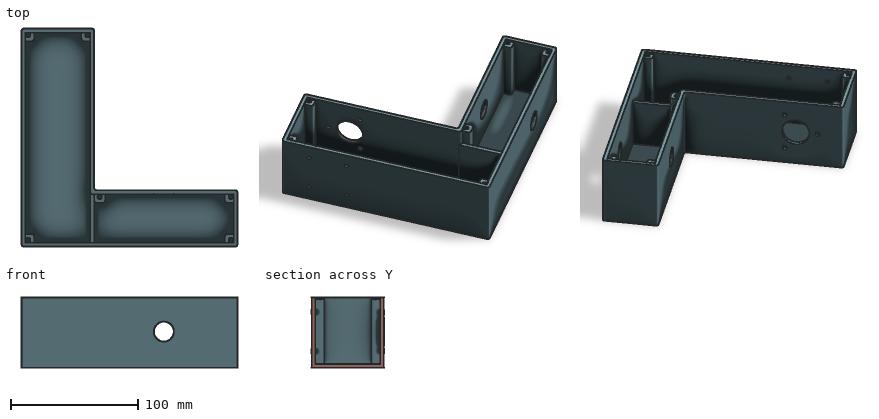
import cadquery as cq
import math

LENGTH_X = 169.8
LENGTH_Y = 171.45
HEIGHT = 55.56
LONG_ARM_WIDTH = 57.15
SHORT_ARM_WIDTH = 44.45
WALL = 3.175
FLOOR = 3.175
CORNER_RADIUS = 2.0

PARTITION_TOP = 41.275

POST_SIZE = 6.8
INNER_POST_LENGTH_X = 8.7
POST_RADIUS = 2.0
POST_RECESS = 1.5875
POST_HOLE_DIAMETER = 3.5
POST_HOLE_DEPTH = 12.0
POST_HOLE_INSET = 2.1

AXIS_Z = 28.575
MOTOR_Y = 133.35
MOTOR_BORE_DIAMETER = 22.0
MOTOR_SCREW_DIAMETER = 3.5
MOTOR_SCREW_CIRCLE_RADIUS = 17.5
MOTOR_SCREW_COUNT = 3

SIDE_SCREW_DIAMETER = 3.0
SIDE_SCREW_SPACING = 31.0

CROSS_HOLE_DIAMETER = 15.5

PARTITION_MIN_X = LONG_ARM_WIDTH - WALL
CROSS_HOLE_X = (LONG_ARM_WIDTH + LENGTH_X - WALL) / 2
POST_TOP = HEIGHT - POST_RECESS
INSIDE_MIN = WALL
INSIDE_MAX_X = LENGTH_X - WALL
INSIDE_MAX_Y = LENGTH_Y - WALL
SHORT_ARM_INSIDE_MAX_Y = SHORT_ARM_WIDTH - WALL


def l_prism(inset, bottom, top):
    """L-shaped prism whose sides lie `inset` inside the outer walls."""
    return (
        cq.Workplane("XY", origin=(0, 0, bottom))
        .moveTo(inset, inset)
        .lineTo(LENGTH_X - inset, inset)
        .lineTo(LENGTH_X - inset, SHORT_ARM_WIDTH - inset)
        .lineTo(LONG_ARM_WIDTH - inset, SHORT_ARM_WIDTH - inset)
        .lineTo(LONG_ARM_WIDTH - inset, LENGTH_Y - inset)
        .lineTo(inset, LENGTH_Y - inset)
        .close()
        .extrude(top - bottom)
    )


def block(x_min, x_max, y_min, y_max, z_min, z_max):
    """Axis-aligned box given by its limits."""
    return cq.Workplane("XY").box(
        x_max - x_min, y_max - y_min, z_max - z_min, centered=False
    ).translate((x_min, y_min, z_min))


def cylinder_x(diameter, y, z, x_min, x_max):
    """Cylinder along X between two X positions."""
    axis = cq.Vector(1, 0, 0)
    return cq.Solid.makeCylinder(diameter / 2, x_max - x_min, cq.Vector(x_min, y, z), axis)


def make_shell():
    """Open-topped box with rounded outer corners and a rounded re-entrant edge."""
    outer = l_prism(0, 0, HEIGHT).edges("|Z").fillet(CORNER_RADIUS)
    inside_bend = cq.selectors.NearestToPointSelector(
        (LONG_ARM_WIDTH - WALL, SHORT_ARM_INSIDE_MAX_Y, (FLOOR + HEIGHT) / 2)
    )
    cavity = l_prism(WALL, FLOOR, HEIGHT).edges("|Z").edges(inside_bend).fillet(CORNER_RADIUS)
    return outer.cut(cavity)


def make_partition():
    """Low wall between the arms; both ends run into the neighbouring walls to join them."""
    start_y = WALL / 2
    end_y = SHORT_ARM_WIDTH - WALL / 2
    return block(PARTITION_MIN_X, LONG_ARM_WIDTH, start_y, end_y, FLOOR, PARTITION_TOP)


def corner_post(corner_x, corner_y, side_x, side_y):
    """Post in an inside corner; side_x and side_y point from the corner into the cavity."""
    x_limits = sorted((corner_x, corner_x + side_x * POST_SIZE))
    y_limits = sorted((corner_y, corner_y + side_y * POST_SIZE))
    free_x = ">X" if side_x > 0 else "<X"
    free_y = ">Y" if side_y > 0 else "<Y"
    post = block(*x_limits, *y_limits, FLOOR, POST_TOP)
    return post.edges("|Z").edges(free_x).edges(free_y).fillet(POST_RADIUS)


def inner_post():
    """Post on the inner long wall of the short arm, next to the partition."""
    y_max = SHORT_ARM_INSIDE_MAX_Y
    x_max = LONG_ARM_WIDTH + INNER_POST_LENGTH_X
    post = block(LONG_ARM_WIDTH, x_max, y_max - POST_SIZE, y_max, FLOOR, POST_TOP)
    return post.edges("|Z and <Y").fillet(POST_RADIUS)


def post_hole(x, y):
    """Blind screw hole going down from a post top."""
    bottom = cq.Vector(x, y, POST_TOP - POST_HOLE_DEPTH)
    return cq.Solid.makeCylinder(POST_HOLE_DIAMETER / 2, POST_HOLE_DEPTH, bottom)


def add_posts(body):
    """Six lid posts, each with its screw hole."""
    corners = [
        (INSIDE_MIN, INSIDE_MIN, 1, 1),
        (INSIDE_MAX_X, INSIDE_MIN, -1, 1),
        (INSIDE_MAX_X, SHORT_ARM_INSIDE_MAX_Y, -1, -1),
        (PARTITION_MIN_X, INSIDE_MAX_Y, -1, -1),
        (INSIDE_MIN, INSIDE_MAX_Y, 1, -1),
    ]
    body = body.union(inner_post())
    for corner in corners:
        body = body.union(corner_post(*corner))
    inner_hole_x = LONG_ARM_WIDTH + INNER_POST_LENGTH_X / 2
    body = body.cut(post_hole(inner_hole_x, SHORT_ARM_INSIDE_MAX_Y - POST_HOLE_INSET))
    for x, y, side_x, side_y in corners:
        body = body.cut(post_hole(x + side_x * POST_HOLE_INSET, y + side_y * POST_HOLE_INSET))
    return body


def cut_motor_opening(body):
    """Bore and its ring of screw holes, one of them toward +Y."""
    x_limits = (PARTITION_MIN_X, LONG_ARM_WIDTH)
    body = body.cut(cylinder_x(MOTOR_BORE_DIAMETER, MOTOR_Y, AXIS_Z, *x_limits))
    for index in range(MOTOR_SCREW_COUNT):
        angle = 2 * math.pi * index / MOTOR_SCREW_COUNT
        y = MOTOR_Y + MOTOR_SCREW_CIRCLE_RADIUS * math.cos(angle)
        z = AXIS_Z + MOTOR_SCREW_CIRCLE_RADIUS * math.sin(angle)
        body = body.cut(cylinder_x(MOTOR_SCREW_DIAMETER, y, z, *x_limits))
    return body


def cut_side_screws(body):
    """Four holes centred opposite the motor bore."""
    offset = SIDE_SCREW_SPACING / 2
    for y in (MOTOR_Y - offset, MOTOR_Y + offset):
        for z in (AXIS_Z - offset, AXIS_Z + offset):
            body = body.cut(cylinder_x(SIDE_SCREW_DIAMETER, y, z, 0, WALL))
    return body


def cut_cross_holes(body):
    """One cut along Y through both long walls of the short arm."""
    start = cq.Vector(CROSS_HOLE_X, 0, AXIS_Z)
    axis = cq.Vector(0, 1, 0)
    return body.cut(cq.Solid.makeCylinder(CROSS_HOLE_DIAMETER / 2, SHORT_ARM_WIDTH, start, axis))


box = make_shell().union(make_partition())
box = add_posts(box)
box = cut_motor_opening(box)
box = cut_side_screws(box)
result = cut_cross_holes(box)